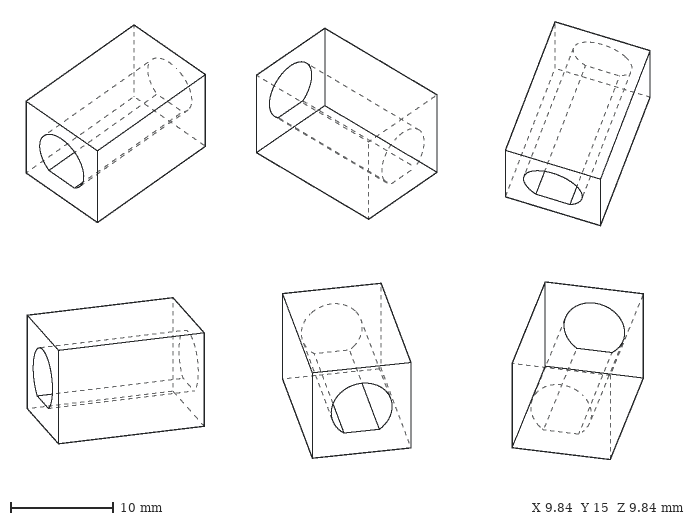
import cadquery as cq

length = 15.0
side = 9.84

bore_diameter = 6.08
bore_height = 5.01
flat_height = 2.54


def make_block():
    """Square bar, centred on X and Y, standing on Z = 0."""
    return cq.Workplane("XY").box(side, length, side, centered=(True, True, False))


def make_bore():
    """Round bar through the whole length, cut off level below the flat."""
    round_bar = (
        cq.Workplane("XZ")
        .center(0, bore_height)
        .circle(bore_diameter / 2)
        .extrude(length / 2, both=True)
    )
    above_flat = make_block().translate((0, 0, flat_height))
    return round_bar.intersect(above_flat)


result = make_block().cut(make_bore())